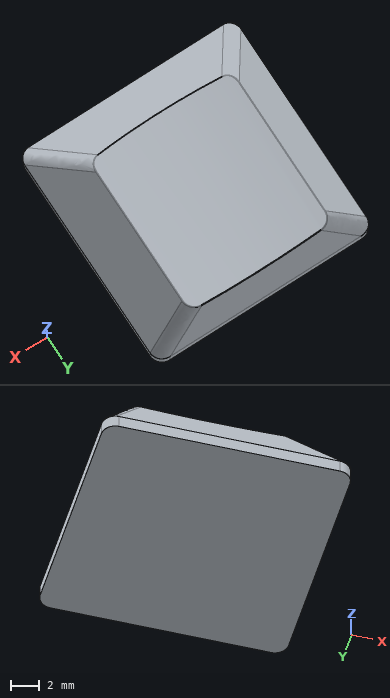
import cadquery as cq

base_side = 18.0
total_height = 7.49
skirt_height = 1.0
corner_radius = 1.0

top_side_inset = 3.06
top_front_inset = 4.5
top_back_inset = 0.6

dish_depth = 0.58
rim_radius = 0.05
rim_allowance = 0.007

top_width = base_side - 2 * top_side_inset
top_length = base_side - top_front_inset - top_back_inset
top_center_y = (top_front_inset - top_back_inset) / 2
half_width = top_width / 2
dish_radius = (half_width**2 + dish_depth**2) / (2 * dish_depth)
peak_height = total_height + rim_allowance

skirt = cq.Workplane("XY").rect(base_side, base_side).extrude(skirt_height)
skirt = skirt.edges("|Z").fillet(corner_radius)

body = (
    cq.Workplane("XY", origin=(0, 0, skirt_height))
    .rect(base_side, base_side)
    .workplane(offset=peak_height - skirt_height)
    .center(0, top_center_y)
    .rect(top_width, top_length)
    .loft(ruled=True)
)

body = body.edges("not #Z").fillet(corner_radius)
cap = skirt.union(body)

dish = (
    cq.Workplane("XZ", origin=(0, 0, peak_height - dish_depth + dish_radius))
    .circle(dish_radius)
    .extrude(base_side, both=True)
)

result = cap.cut(dish).faces(">Z").edges().fillet(rim_radius)